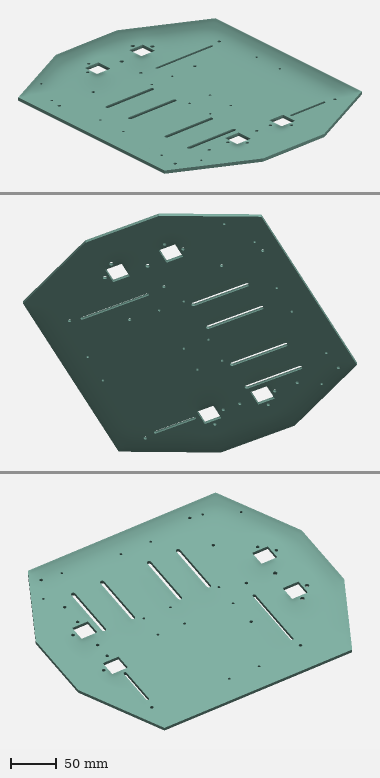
import cadquery as cq

LENGTH = 340.0
WIDTH = 290.0
THICKNESS = 4.0
LONG_EDGE = 240.0
SHORT_EDGE = 90.0

WINDOW_SIZE = 20.0
WINDOW_X = 115.0
WINDOW_Y = 32.5
WINDOW_HOLE_OFFSET = 15.0
INNER_HOLE_OFFSET = 17.5

SMALL_HOLE = 3.0
MEDIUM_HOLE = 4.0
LARGE_HOLE = 5.0

STANDOFF_COLUMNS = (-75.0, WINDOW_X)
STANDOFF_ROWS = (110.0, -5.0, -75.0, -125.0)

EDGE_PAIR_X = 19.0
EDGE_PAIR_Y = 115.0
BOARD_COLUMNS = (-46.0, 16.0, 50.0)
BOARD_Y = 15.0

BACK_LEFT_HOLE = (-48.0, 50.0)
LEFT_CABLE_HOLE = (-110.0, -2.0)
FRONT_PAIR_X = 90.0
FRONT_PAIR_Y = -122.5
FRONT_LEFT_HOLE = (-128.0, -104.0)
FRONT_RIGHT_HOLE = (128.25, -98.25)

FRONT_SLOT_WIDTH = 5.0
FRONT_SLOT_LENGTH = 70.0
FRONT_SLOT_COLUMNS = (-37.5, -0.5, 59.5, 96.5)
FRONT_SLOT_Y = -55.0
BACK_SLOT_WIDTH = 3.5
BACK_SLOT_TOP = 98.0
BACK_LEFT_SLOT_X = -72.25
BACK_LEFT_SLOT_LENGTH = 83.5
BACK_RIGHT_SLOT_X = 112.25
BACK_RIGHT_SLOT_LENGTH = 51.0


def make_plate():
    """Octagonal plate resting on the XY plane."""
    corner_x = (LENGTH - LONG_EDGE) / 2
    corner_y = (WIDTH - SHORT_EDGE) / 2
    half_x = LENGTH / 2
    half_y = WIDTH / 2
    outline = [
        (-half_x, half_y - corner_y),
        (-half_x + corner_x, half_y),
        (half_x - corner_x, half_y),
        (half_x, half_y - corner_y),
        (half_x, -half_y + corner_y),
        (half_x - corner_x, -half_y),
        (-half_x + corner_x, -half_y),
        (-half_x, -half_y + corner_y),
    ]
    return cq.Workplane("XY").polyline(outline).close().extrude(THICKNESS)


def cut_holes(plate, diameter, points):
    """Round through holes of one diameter."""
    holes = cq.Workplane("XY").pushPoints(points).circle(diameter / 2).extrude(THICKNESS)
    return plate.cut(holes)


def cut_slots(plate, width, length, points):
    """Through slots along Y; length is measured over the round ends."""
    slots = cq.Workplane("XY").pushPoints(points).slot2D(length, width, 90).extrude(THICKNESS)
    return plate.cut(slots)


def cut_windows(plate):
    """Four square through windows."""
    centres = [(x, y) for x in (-WINDOW_X, WINDOW_X) for y in (-WINDOW_Y, WINDOW_Y)]
    windows = cq.Workplane("XY").pushPoints(centres).rect(WINDOW_SIZE, WINDOW_SIZE).extrude(THICKNESS)
    return plate.cut(windows)


def cut_window_holes(plate):
    """Fixing holes beside the windows; those of the back left window are larger."""
    outer_x = WINDOW_X + WINDOW_HOLE_OFFSET
    outer_y = WINDOW_Y + WINDOW_HOLE_OFFSET
    back_left = [(-outer_x, WINDOW_Y), (-WINDOW_X, outer_y)]
    others = [
        (-outer_x, -WINDOW_Y),
        (-WINDOW_X, -outer_y),
        (outer_x, -WINDOW_Y),
        (WINDOW_X, -outer_y),
        (outer_x, WINDOW_Y),
    ]
    plate = cut_holes(plate, LARGE_HOLE, back_left)
    return cut_holes(plate, MEDIUM_HOLE, others)


def cut_mounting_holes(plate):
    """Standoff columns, edge pairs, board pattern and single holes."""
    standoffs = [(x, y) for x in STANDOFF_COLUMNS for y in STANDOFF_ROWS]
    inner_hole = (WINDOW_X, WINDOW_Y - INNER_HOLE_OFFSET)
    plate = cut_holes(plate, MEDIUM_HOLE, standoffs + [inner_hole, BACK_LEFT_HOLE])
    plate = cut_holes(plate, LARGE_HOLE, [LEFT_CABLE_HOLE])

    edge_pairs = [(x, y) for x in (-EDGE_PAIR_X, EDGE_PAIR_X) for y in (-EDGE_PAIR_Y, EDGE_PAIR_Y)]
    board = [(x, y) for x in BOARD_COLUMNS for y in (-BOARD_Y, BOARD_Y)]
    front_pair = [(x, FRONT_PAIR_Y) for x in (-FRONT_PAIR_X, FRONT_PAIR_X)]
    front_corners = [FRONT_LEFT_HOLE, FRONT_RIGHT_HOLE]
    return cut_holes(plate, SMALL_HOLE, edge_pairs + board + front_pair + front_corners)


def cut_all_slots(plate):
    """Four equal front slots and two narrower back slots of unequal length."""
    front = [(x, FRONT_SLOT_Y) for x in FRONT_SLOT_COLUMNS]
    plate = cut_slots(plate, FRONT_SLOT_WIDTH, FRONT_SLOT_LENGTH, front)
    back = (
        (BACK_LEFT_SLOT_X, BACK_LEFT_SLOT_LENGTH),
        (BACK_RIGHT_SLOT_X, BACK_RIGHT_SLOT_LENGTH),
    )
    for x, length in back:
        centre = (x, BACK_SLOT_TOP - length / 2)
        plate = cut_slots(plate, BACK_SLOT_WIDTH, length, [centre])
    return plate


result = make_plate()
result = cut_windows(result)
result = cut_window_holes(result)
result = cut_mounting_holes(result)
result = cut_all_slots(result)